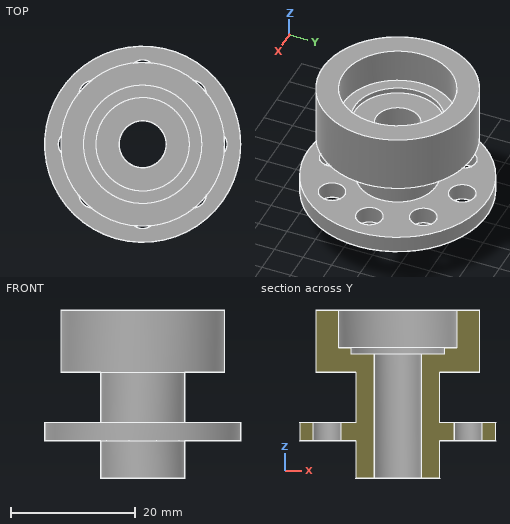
import cadquery as cq

spigot_height = 6.02
flange_height = 3.0
neck_height = 8.0
head_height = 10.0

flange_diameter = 31.5
shaft_diameter = 13.5
head_diameter = 26.3

pocket_diameter = 19.0
pocket_depth = 6.02
recess_diameter = 15.0
recess_depth = 1.0
bore_diameter = 7.5

hole_count = 8
hole_diameter = 4.4
hole_circle_radius = 11.3

flange_bottom = spigot_height
flange_top = flange_bottom + flange_height
head_bottom = flange_top + neck_height
total_height = head_bottom + head_height
pocket_floor = total_height - pocket_depth
recess_floor = pocket_floor - recess_depth


def cylinder(diameter, bottom, top):
    """Solid cylinder on the Z axis between two heights."""
    return cq.Workplane("XY").workplane(offset=bottom).circle(diameter / 2).extrude(top - bottom)


def flange():
    """Disc with an evenly spaced ring of through holes."""
    holes = (
        cq.Workplane("XY")
        .workplane(offset=flange_bottom)
        .polarArray(hole_circle_radius, 0, 360, hole_count)
        .circle(hole_diameter / 2)
        .extrude(flange_height)
    )
    return cylinder(flange_diameter, flange_bottom, flange_top).cut(holes)


shaft = cylinder(shaft_diameter, 0, head_bottom)
head = cylinder(head_diameter, head_bottom, total_height)
body = shaft.union(flange()).union(head)

result = (
    body.cut(cylinder(pocket_diameter, pocket_floor, total_height))
    .cut(cylinder(recess_diameter, recess_floor, pocket_floor))
    .cut(cylinder(bore_diameter, 0, recess_floor))
)